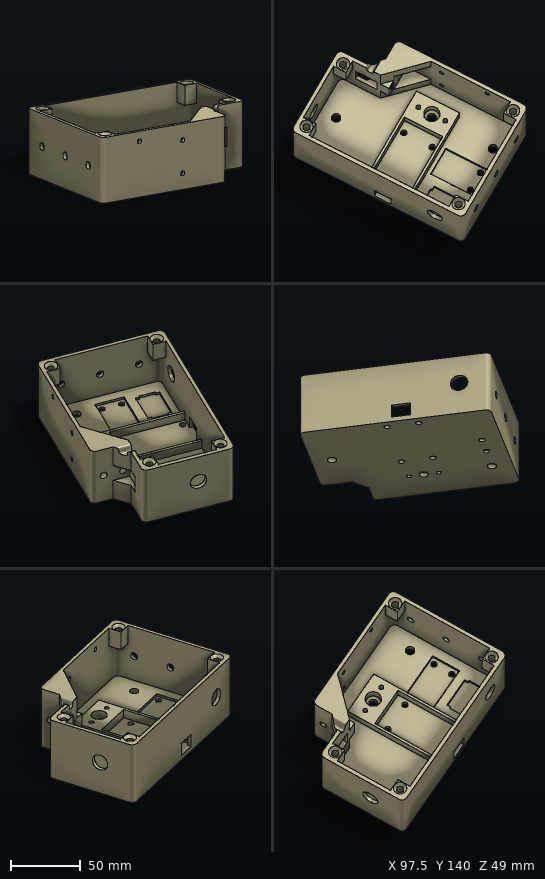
import cadquery as cq

length_x, length_y, height = 97.5, 140.0, 49.0
wall = 3.0
floor = 4.0
corner_radius = 4.0
mid_z = height / 2

tab_width = 70.8
tab_inner_x = tab_width - wall
shoulder_y = 107.2
bevel = 10.0
bevel_y = shoulder_y + bevel
inner_bevel_y = 104.3
inner_bevel = length_x - wall - tab_inner_x

shoulder_thickness = 10.0
bay_face_y = shoulder_y - shoulder_thickness
bay_roof = 10.0
bay_sill = 10.0
slot_height = 14.0
slot_end_y = 124.7
latch_hole_xs = (73.1, 88.0)
latch_hole_diameter = 5.5

groove_width = 4.9
groove_depth = 4.9
groove_radius = 2.0
groove_center_y = bevel_y - groove_radius - groove_width / 2

post_size = 10.1
post_height = 15.0
screw_diameter = 5.0
countersink_diameter = 9.5
screw_inset = 8.1

pad_x_max, pad_y_min, pad_y_max = 82.6, 47.9, 83.0
pad_height = 7.0
pad_margin = 2.0
pad_pocket_x_max = 60.9
pad_hole_x = 72.4
pad_hole_y = 65.0
pad_small_diameter = 3.4
pad_small_spacing = 21.8
pad_counterbore_diameter = 11.5
mount_diameter = 6.5
pad_center_y = (pad_y_min + pad_y_max) / 2

mount_points = [(39.5, 124.9), (pad_hole_x, 15.1), (pad_hole_x, pad_hole_y)]
board_hole_diameter = 4.3
board_hole_xs = (6.3, 52.6)
board_hole_spacing = 23.1

recess_depth = 2.0
module_min, module_max = (34.0, 10.2), (56.4, 45.0)
module_hole_xs = (37.7, 52.6)
module_hole_y = 14.5
switch_center = (17.6, 26.3)
switch_size = (18.5, 23.7)
switch_tab_size = (12.5, 26.2)

front_hole_diameter = 5.5
front_hole_spacing = 30.0
front_hole_center_x = 49.5
jack_diameter = 12.5
jack_z = 26.0
jack_side_y = 23.0
jack_back_x = 28.1
port_y_min, port_width, port_height = 58.8, 13.5, 10.0
pin_hole_diameter = 3.4
pin_holes = [(69.2, 12.2), (69.2, 36.8), (32.0, 41.6)]


def box(x_min, x_max, y_min, y_max, z_min, z_max):
    """Box given by its limits along each axis."""
    size = (x_max - x_min, y_max - y_min, z_max - z_min)
    return cq.Workplane("XY").box(*size, centered=False).translate((x_min, y_min, z_min))


def rod_x(diameter, y, z, x_start, x_end):
    """Cylinder along X."""
    return (
        cq.Workplane("YZ", origin=(x_start, 0, 0))
        .center(y, z)
        .circle(diameter / 2)
        .extrude(x_end - x_start)
    )


def rod_y(diameter, x, z, y_start, y_end):
    """Cylinder along Y."""
    return (
        cq.Workplane("XZ", origin=(0, y_start, 0))
        .center(x, z)
        .circle(diameter / 2)
        .extrude(y_start - y_end)
    )


def rods_z(diameter, points, z_start, z_end):
    """Cylinders along Z at several points."""
    return (
        cq.Workplane("XY", origin=(0, 0, z_start))
        .pushPoints(points)
        .circle(diameter / 2)
        .extrude(z_end - z_start)
    )


def round_vertical_edges(solid, corners):
    """Fillet the vertical edges standing at the given XY corners."""
    for x, y in corners:
        edge = cq.selectors.NearestToPointSelector((x, y, mid_z))
        solid = solid.edges("|Z").edges(edge).fillet(corner_radius)
    return solid


def make_shell():
    """Outer body with its rounded corners, hollowed down to the floor."""
    outer_points = [
        (0, 0),
        (length_x, 0),
        (length_x, shoulder_y),
        (tab_width + bevel, shoulder_y),
        (tab_width, bevel_y),
        (tab_width, length_y),
        (0, length_y),
    ]
    inner_points = [
        (wall, wall),
        (length_x - wall, wall),
        (length_x - wall, inner_bevel_y - inner_bevel),
        (tab_inner_x, inner_bevel_y),
        (tab_inner_x, length_y - wall),
        (wall, length_y - wall),
    ]
    outer_corners = outer_points[:3] + outer_points[-2:]
    inner_corners = inner_points[:2] + inner_points[-2:]
    body = cq.Workplane("XY").polyline(outer_points).close().extrude(height)
    cavity = cq.Workplane("XY", origin=(0, 0, floor)).polyline(inner_points).close().extrude(height)
    body = round_vertical_edges(body, outer_corners)
    cavity = round_vertical_edges(cavity, inner_corners)
    return body.cut(cavity)


def add_latch_bay(body):
    """Open the bevelled corner into a bay, a bolt slot and a drilled shoulder wall."""
    slot_bottom, slot_top = mid_z - slot_height / 2, mid_z + slot_height / 2
    jamb = box(tab_inner_x, tab_width + bevel, bay_face_y, shoulder_y, slot_bottom, slot_top)
    bay_y_min = inner_bevel_y - inner_bevel
    bay_bottom, bay_top = floor + bay_sill, height - bay_roof
    bay = box(tab_inner_x, length_x - wall, bay_y_min, bay_face_y, bay_bottom, bay_top)
    slot = box(tab_inner_x - wall, length_x, shoulder_y, slot_end_y, slot_bottom, slot_top)
    body = body.union(jamb).cut(bay).cut(slot)
    for x in latch_hole_xs:
        body = body.cut(rod_y(latch_hole_diameter, x, mid_z, bay_face_y, shoulder_y))
    return body


def cut_cable_groove(body):
    """Cable groove along X, open at the rim, with rounded bottom corners and rounded lips."""
    half_width = groove_width / 2
    half_mouth = half_width + groove_radius
    lip_z = height - groove_radius
    bottom_z = height - groove_depth
    bend_z = bottom_z + groove_radius
    half_flat = half_width - groove_radius
    groove = (
        cq.Workplane("YZ", origin=(tab_inner_x - wall, groove_center_y, 0))
        .moveTo(-half_mouth, height)
        .radiusArc((-half_width, lip_z), groove_radius)
        .lineTo(-half_width, bend_z)
        .radiusArc((-half_flat, bottom_z), -groove_radius)
        .lineTo(half_flat, bottom_z)
        .radiusArc((half_width, bend_z), -groove_radius)
        .lineTo(half_width, lip_z)
        .radiusArc((half_mouth, height), groove_radius)
        .close()
        .extrude(tab_width + bevel - tab_inner_x + wall)
    )
    return body.cut(groove)


def add_screw_posts(body):
    """Corner posts hanging from the rim, each with a countersunk screw hole."""
    corners = [
        (0, 0, 1, 1),
        (length_x, 0, -1, 1),
        (tab_width, length_y, -1, -1),
        (0, length_y, 1, -1),
    ]
    post_reach = wall + post_size
    post_bottom = height - post_height
    for x, y, x_way, y_way in corners:
        xs = sorted((x + x_way * wall, x + x_way * post_reach))
        ys = sorted((y + y_way * wall, y + y_way * post_reach))
        body = body.union(box(*xs, *ys, post_bottom, height))
    cone_depth = (countersink_diameter - screw_diameter) / 2
    for x, y, x_way, y_way in corners:
        point = (x + x_way * screw_inset, y + y_way * screw_inset)
        cone_base = cq.Vector(*point, height - cone_depth)
        cone = cq.Solid.makeCone(screw_diameter / 2, countersink_diameter / 2, cone_depth, pnt=cone_base)
        body = body.cut(rods_z(screw_diameter, [point], post_bottom, height)).cut(cq.Workplane(cone))
    return body


def add_pad(body):
    """Raised pad with a pocket open to the -X wall, a counterbore and two small holes."""
    pad_top = floor + pad_height
    pad = box(wall, pad_x_max, pad_y_min, pad_y_max, floor, pad_top)
    pocket = box(wall, pad_pocket_x_max, pad_y_min + pad_margin, pad_y_max - pad_margin, floor, pad_top)
    small_points = [(pad_hole_x, pad_hole_y + side * pad_small_spacing / 2) for side in (-1, 1)]
    body = body.union(pad.cut(pocket))
    body = body.cut(rods_z(pad_counterbore_diameter, [(pad_hole_x, pad_hole_y)], floor, pad_top))
    return body.cut(rods_z(pad_small_diameter, small_points, 0, pad_top))


def cut_floor(body):
    """Recesses and holes in the floor."""
    recess_z = floor - recess_depth
    module = box(module_min[0], module_max[0], module_min[1], module_max[1], recess_z, floor)
    body = body.cut(module)
    for size in (switch_size, switch_tab_size):
        recess = cq.Workplane("XY", origin=(*switch_center, recess_z)).rect(*size).extrude(recess_depth)
        body = body.cut(recess)
    board_points = [
        (x, pad_center_y + side * board_hole_spacing / 2) for x in board_hole_xs for side in (-1, 1)
    ]
    module_points = [(x, module_hole_y) for x in module_hole_xs]
    body = body.cut(rods_z(mount_diameter, mount_points, 0, floor))
    body = body.cut(rods_z(board_hole_diameter, board_points, 0, floor))
    return body.cut(rods_z(board_hole_diameter, module_points, 0, floor))


def cut_side_walls(body):
    """Holes and the port through the four side walls."""
    for step in (-1, 0, 1):
        x = front_hole_center_x + step * front_hole_spacing
        body = body.cut(rod_y(front_hole_diameter, x, mid_z, 0, wall))
    body = body.cut(rod_x(jack_diameter, jack_side_y, jack_z, 0, wall))
    body = body.cut(rod_y(jack_diameter, jack_back_x, jack_z, length_y - wall, length_y))
    body = body.cut(box(0, wall, port_y_min, port_y_min + port_width, floor, floor + port_height))
    for y, z in pin_holes:
        body = body.cut(rod_x(pin_hole_diameter, y, z, length_x - wall, length_x))
    return body


body = make_shell()
body = add_latch_bay(body)
body = cut_cable_groove(body)
body = add_screw_posts(body)
body = add_pad(body)
body = cut_floor(body)
result = cut_side_walls(body)